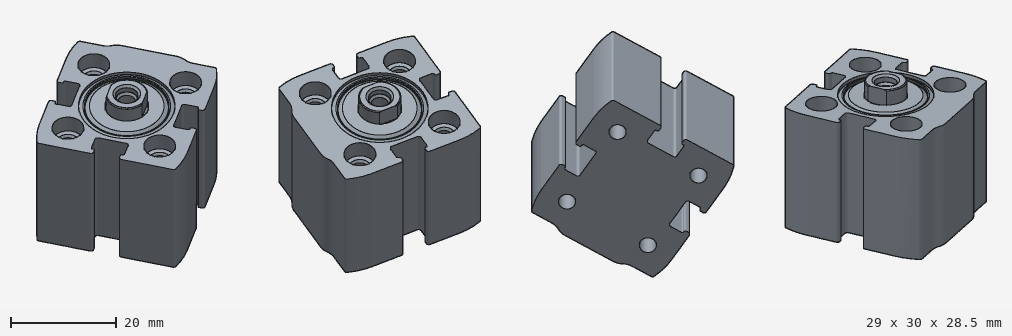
import cadquery as cq
import math


body_height = 25.5
half_width = 14.5
side_flat_half = 9.3
side_arc_radius = 14.0
corner_radius = 0.5
crown_height = 1.0
crown_half_width = 5.35
crown_foot_half_width = 8.95

slot_mouth_width = 5.1
slot_chamber_width = 6.5
slot_lip = 1.3
slot_floor = 10.0
slot_floor_radius = 0.5
slot_lip_radius = 0.3
slot_mouth_radius = 0.5

mount_spacing = 18.0
mount_counterbore_diameter = 6.0
mount_counterbore_depth = 3.6
thread_major_diameter = 4.13
thread_minor_diameter = 3.24

groove_outer_radius = 18.2 / 2
groove_depth = 0.65
ring_crest_radius = 8.27
ring_crest_depth = 0.2
ring_inner_radius = 16.0 / 2
ring_inner_depth = 0.25
cap_foot_radius = 7.87
cap_foot_depth = 0.65
cap_edge_radius = 7.3
cap_edge_depth = 0.25
cap_face_radius = 7.05
cap_face_depth = 0.15

rod_diameter = 8.0
rod_extension = 3.0
rod_insertion = 10.0
rod_flat_width = 7.0
rod_flat_depth = 0.6
rod_flat_end_angle = 28.0
rod_clearance_diameter = 8.3
rod_clearance_depth = 1.0
rod_chamfer = 0.2
rod_entry_diameter = 5.2
rod_counterbore_diameter = 4.3
rod_counterbore_depth = 1.5
rod_thread_depth = 8.0
drill_point_angle = 118.0


def side_arc_x(distance):
    """X of the side arc at a distance from the XZ plane."""
    rise = distance - side_flat_half
    return half_width - side_arc_radius + math.sqrt(side_arc_radius**2 - rise**2)


def fillet_upright_edge(body, x, y, radius):
    edge = cq.selectors.NearestToPointSelector((x, y, body_height / 2))
    return body.edges(edge).fillet(radius)


def make_profile():
    corner_x = side_arc_x(half_width)
    middle_y = (side_flat_half + half_width) / 2
    middle_x = side_arc_x(middle_y)
    slope_x = (crown_half_width + crown_foot_half_width) / 2
    slope_y = half_width + crown_height / 2
    crown_y = half_width + crown_height
    profile = (
        cq.Workplane("XY")
        .moveTo(-corner_x, -half_width)
        .lineTo(corner_x, -half_width)
        .threePointArc((middle_x, -middle_y), (half_width, -side_flat_half))
        .lineTo(half_width, side_flat_half)
        .threePointArc((middle_x, middle_y), (corner_x, half_width))
        .lineTo(crown_foot_half_width, half_width)
        .tangentArcPoint((slope_x, slope_y), relative=False)
        .tangentArcPoint((crown_half_width, crown_y), relative=False)
        .lineTo(-crown_half_width, crown_y)
        .tangentArcPoint((-slope_x, slope_y), relative=False)
        .tangentArcPoint((-crown_foot_half_width, half_width), relative=False)
        .lineTo(-corner_x, half_width)
        .threePointArc((-middle_x, middle_y), (-half_width, side_flat_half))
        .lineTo(-half_width, -side_flat_half)
        .threePointArc((-middle_x, -middle_y), (-corner_x, -half_width))
        .close()
        .extrude(body_height)
    )
    for x in (-corner_x, corner_x):
        for y in (-half_width, half_width):
            profile = fillet_upright_edge(profile, x, y, corner_radius)
    return profile


def make_slot_cutter():
    """T-slot cutter that opens toward +X."""
    chamber_end = half_width - slot_lip
    chamber_length = chamber_end - slot_floor
    chamber = (
        cq.Workplane("XY")
        .box(chamber_length, slot_chamber_width, body_height, centered=(False, True, False))
        .translate((slot_floor, 0, 0))
        .edges("|Z and <X")
        .fillet(slot_floor_radius)
        .edges("|Z and >X")
        .fillet(slot_lip_radius)
    )
    mouth = (
        cq.Workplane("XY")
        .box(half_width - slot_floor, slot_mouth_width, body_height, centered=(False, True, False))
        .translate((slot_floor, 0, 0))
    )
    return chamber.union(mouth)


def cut_slots(body):
    cutter = make_slot_cutter()
    lip_edges = (
        (half_width, slot_mouth_radius),
        (half_width - slot_lip, slot_lip_radius),
    )
    for angle in (0, 180, 270):
        body = body.cut(cutter.rotate((0, 0, 0), (0, 0, 1), angle))
        cosine = math.cos(math.radians(angle))
        sine = math.sin(math.radians(angle))
        for side in (-slot_mouth_width / 2, slot_mouth_width / 2):
            for reach, radius in lip_edges:
                x = reach * cosine - side * sine
                y = reach * sine + side * cosine
                body = fillet_upright_edge(body, x, y, radius)
    return body


def make_mount_holes():
    counterbore_floor = body_height - mount_counterbore_depth
    cone_depth = (thread_major_diameter - thread_minor_diameter) / 2
    hole = (
        cq.Workplane("XZ")
        .lineTo(thread_minor_diameter / 2, 0)
        .lineTo(thread_minor_diameter / 2, counterbore_floor - cone_depth)
        .lineTo(thread_major_diameter / 2, counterbore_floor)
        .lineTo(mount_counterbore_diameter / 2, counterbore_floor)
        .lineTo(mount_counterbore_diameter / 2, body_height)
        .lineTo(0, body_height)
        .close()
        .revolve(360, (0, 0), (0, 1))
    )
    return [
        hole.translate((x, y, 0))
        for x in (-mount_spacing / 2, mount_spacing / 2)
        for y in (-mount_spacing / 2, mount_spacing / 2)
    ]


def make_cap_recess():
    """Material removed above the sunken cap and its retaining ring."""
    top = body_height
    return (
        cq.Workplane("XZ")
        .moveTo(0, top)
        .lineTo(0, top - cap_face_depth)
        .lineTo(cap_face_radius, top - cap_face_depth)
        .lineTo(cap_edge_radius, top - cap_edge_depth)
        .lineTo(cap_foot_radius, top - cap_foot_depth)
        .lineTo(ring_inner_radius, top - cap_foot_depth)
        .lineTo(ring_inner_radius, top - ring_inner_depth)
        .lineTo(ring_crest_radius, top - ring_crest_depth)
        .lineTo(groove_outer_radius, top - groove_depth)
        .lineTo(groove_outer_radius, top)
        .close()
        .revolve(360, (0, 0), (0, 1))
    )


def make_housing():
    body = cut_slots(make_profile())
    for hole in make_mount_holes():
        body = body.cut(hole)
    body = body.cut(make_cap_recess())
    rod_hole = (
        cq.Workplane("XY", origin=(0, 0, body_height - rod_insertion))
        .circle(rod_diameter / 2)
        .extrude(rod_insertion)
    )
    clearance = (
        cq.Workplane("XY", origin=(0, 0, body_height - rod_clearance_depth))
        .circle(rod_clearance_diameter / 2)
        .extrude(rod_clearance_depth)
    )
    return body.cut(rod_hole).cut(clearance)


def make_rod_hole():
    top = body_height + rod_extension
    entry_depth = (rod_entry_diameter - rod_counterbore_diameter) / 2
    cone_depth = (thread_major_diameter - thread_minor_diameter) / 2
    point_depth = thread_minor_diameter / 2 / math.tan(math.radians(drill_point_angle / 2))
    return (
        cq.Workplane("XZ")
        .moveTo(0, top)
        .lineTo(rod_entry_diameter / 2, top)
        .lineTo(rod_counterbore_diameter / 2, top - entry_depth)
        .lineTo(rod_counterbore_diameter / 2, top - rod_counterbore_depth)
        .lineTo(thread_major_diameter / 2, top - rod_counterbore_depth)
        .lineTo(thread_minor_diameter / 2, top - rod_counterbore_depth - cone_depth)
        .lineTo(thread_minor_diameter / 2, top - rod_thread_depth)
        .lineTo(0, top - rod_thread_depth - point_depth)
        .close()
        .revolve(360, (0, 0), (0, 1))
    )


def make_flat_cutter():
    """Cuts the +X wrench flat, whose lower end slopes down toward the outside."""
    top = body_height + rod_extension
    inner_x = rod_flat_width / 2
    outer_x = rod_diameter / 2
    flat_end = body_height - rod_flat_depth
    slope_drop = (outer_x - inner_x) * math.tan(math.radians(rod_flat_end_angle))
    return (
        cq.Workplane("XZ")
        .moveTo(inner_x, flat_end)
        .lineTo(outer_x, flat_end - slope_drop)
        .lineTo(outer_x, top)
        .lineTo(inner_x, top)
        .close()
        .extrude(rod_diameter / 2, both=True)
    )


def make_rod():
    rod = (
        cq.Workplane("XY", origin=(0, 0, body_height - rod_insertion))
        .circle(rod_diameter / 2)
        .extrude(rod_insertion + rod_extension)
        .faces(">Z")
        .chamfer(rod_chamfer)
    )
    flat = make_flat_cutter()
    rod = rod.cut(flat).cut(flat.mirror("YZ"))
    return rod.cut(make_rod_hole())


housing = make_housing()
rod = make_rod()
result = cq.Compound.makeCompound([housing.val(), rod.val()])